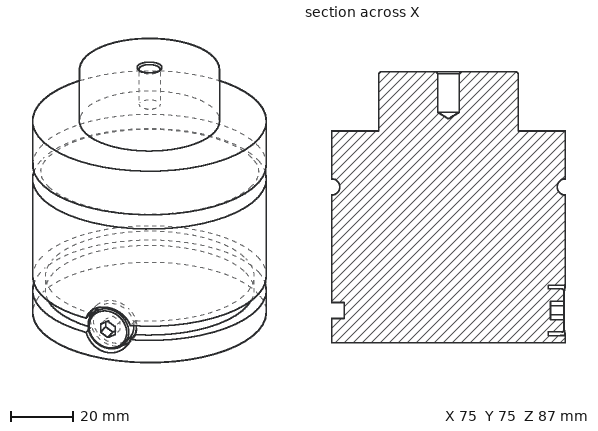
import cadquery as cq
import math

total_height = 87
body_radius = 75.0 / 2
body_height = 68.0

rod_radius = 45.0 / 2
rod_fillet = 1.0

hole_radius = 6.8 / 2
hole_mouth_radius = 8.0 / 2
hole_depth = 13.05
drill_point_angle = 118

groove_width = 5.05
upper_groove_center = 50.0
lower_groove_center = 10.4
lower_groove_depth = 4.0

counterbore_radius = 16.0 / 2
counterbore_floor = 32.0
plug_radius = 14.0 / 2
plug_face = 37.1
plug_chamfer = 0.5
socket_across_flats = 5.0
socket_depth = 4.35


def radial_cylinder(radius, inner, outer):
    """Cylinder along -Y at lower groove height, between two distances from the body axis."""
    start = cq.Workplane("XZ", origin=(0, -inner, lower_groove_center))
    return start.circle(radius).extrude(outer - inner)


def round_ring():
    """Torus centred on the body surface that cuts the half-round groove."""
    section = cq.Workplane("XZ").center(body_radius, upper_groove_center).circle(groove_width / 2)
    return section.revolve(360, (-body_radius, 0, 0), (-body_radius, 1, 0))


def square_ring():
    """Square-sided ring that cuts the lower groove."""
    base = cq.Workplane("XY").workplane(offset=lower_groove_center - groove_width / 2)
    return base.circle(body_radius).circle(body_radius - lower_groove_depth).extrude(groove_width)


def axial_hole():
    """Countersunk blind hole with a conical drill point."""
    mouth_chamfer = hole_mouth_radius - hole_radius
    point_length = hole_radius / math.tan(math.radians(drill_point_angle / 2))
    floor_z = total_height - hole_depth
    profile = (
        cq.Workplane("XZ")
        .moveTo(0, total_height)
        .lineTo(hole_mouth_radius, total_height)
        .lineTo(hole_radius, total_height - mouth_chamfer)
        .lineTo(hole_radius, floor_z)
        .lineTo(0, floor_z - point_length)
        .close()
    )
    return profile.revolve(360, (0, 0, 0), (0, 1, 0))


def plug_screw():
    """Chamfered plug head and the hexagon socket to cut from it, corners up and down."""
    head = radial_cylinder(plug_radius, counterbore_floor, plug_face)
    head = head.faces("<Y").chamfer(plug_chamfer)
    corner_diameter = socket_across_flats / math.cos(math.pi / 6)
    socket = (
        cq.Workplane("XZ", origin=(0, -plug_face, lower_groove_center))
        .transformed(rotate=(0, 0, 90))
        .polygon(6, corner_diameter)
        .extrude(-socket_depth)
    )
    return head, socket


body = cq.Workplane("XY").circle(body_radius).extrude(body_height)
rod = cq.Workplane("XY").circle(rod_radius).extrude(total_height)
rod = rod.faces(">Z").edges().fillet(rod_fillet)

plug_head, plug_socket = plug_screw()

result = (
    body.union(rod)
    .cut(axial_hole())
    .cut(round_ring())
    .cut(square_ring())
    .cut(radial_cylinder(counterbore_radius, counterbore_floor, body_radius))
    .union(plug_head)
    .cut(plug_socket)
)